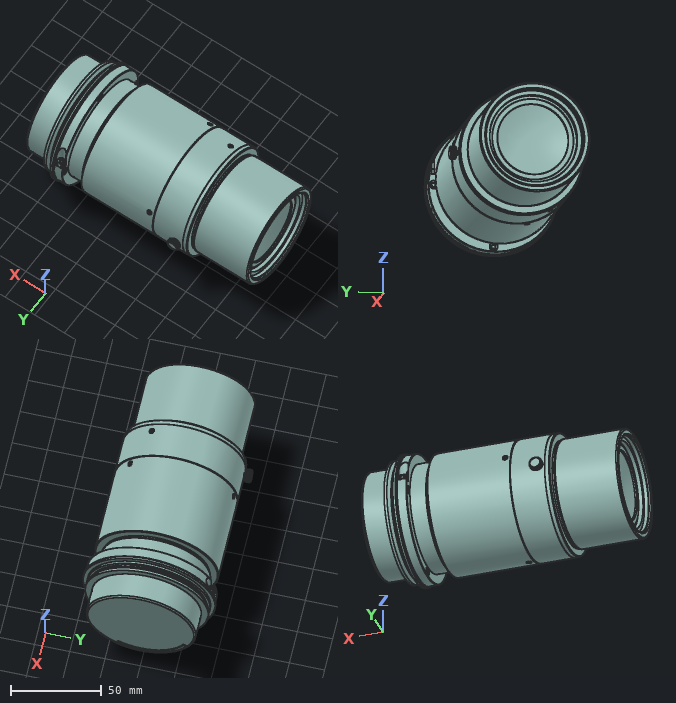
import cadquery as cq
import math


length = 149.8
front_barrel_end = 36.3
front_neck_step = 37.0
ring_start = 38.2
ring_band_end = 41.0
ring_split = 61.1
ring_end = 109.7
rear_barrel_start = 110.7
flange_start = 120.9
flange_end = 126.6
lip_start = 127.0
lip_end = 128.7
rear_collar_end = 130.2
taper_start = 131.2
taper_end = 133.0
rear_rib_end = 134.7
pad_height = 0.5
rear_face = length - pad_height

barrel_dia = 62.0
front_shoulder_dia = 61.4
front_neck_dia = 60.8
rear_neck_dia = 60.2
ring_band_dia = 69.7
ring_dia = 70.0
flange_dia = 73.7
flange_gap_dia = 72.5
lip_dia = 75.0
groove_dia = 66.5

rim_chamfer = 0.7
lip_chamfer = 0.3
ring_chamfer = 0.5
rear_chamfer = 0.9

split_width = 0.3
split_depth = 0.3

front_recess_steps = [(56.0, 1.2), (54.2, 3.6), (49.5, 6.3)]
lens_ring_dia = 45.8
lens_ring_depth = 5.5
lens_dia = 40.0
lens_rim_depth = 6.6
lens_sag = 4.2

set_screw_dia = 2.8
set_screw_recess = 0.7
set_screw_socket = 2.0
set_screw_socket_depth = 1.5
lock_row_x = 45.2
lock_row_angles = [-60, 60]
drive_row_x = 64.5
drive_row_first_angle = 43.4
drive_row_count = 3

overall_width = 76.7
thumb_reach = overall_width - lip_dia / 2
thumb_head_dia = 7.2
thumb_head_height = 3.3
thumb_chamfer = 0.6
thumb_stem_dia = 2.5
thumb_stem_length = 3.0
knurl_count = 36
knurl_depth = 0.1

clamp_x = 123.6
clamp_y = 34.2
clamp_pocket_dia = 5.5
clamp_floor_z = 6.0
clamp_head_dia = 4.5
clamp_head_height = 3.0
clamp_socket = 2.5
clamp_socket_depth = 1.5

face_screw_circle_dia = 67.4
face_screw_dia = 4.5
face_screw_recess = 0.6
face_screw_socket = 2.5
face_screw_socket_depth = 1.5
face_screw_count = 4

pad_outer_dia = 59.3
pad_inner_dia = 54.8
pad_start_angle = -118
pad_end_angle = -28


def band(start, end, dia, chamfer_front=0.0, chamfer_rear=0.0):
    """Disc on the X axis from start to end, with optional edge chamfers."""
    disc = cq.Workplane("YZ", origin=(start, 0, 0)).circle(dia / 2).extrude(end - start)
    if chamfer_front:
        disc = disc.faces("<X").chamfer(chamfer_front)
    if chamfer_rear:
        disc = disc.faces(">X").chamfer(chamfer_rear)
    return disc


def radial_plane(x, angle, radius):
    """Plane facing outwards at an angle measured from -Y towards +Z."""
    y = -math.cos(math.radians(angle))
    z = math.sin(math.radians(angle))
    return cq.Plane(origin=(x, radius * y, radius * z), xDir=(1, 0, 0), normal=(0, y, z))


def body():
    solid = band(0, front_barrel_end, barrel_dia, rim_chamfer, 0)
    solid = solid.union(band(front_barrel_end, front_neck_step, front_shoulder_dia))
    solid = solid.union(band(front_neck_step, ring_start, front_neck_dia))
    solid = solid.union(band(ring_start, ring_band_end, ring_band_dia, ring_chamfer, 0))
    solid = solid.union(band(ring_band_end, ring_end, ring_dia, 0, ring_chamfer))
    solid = solid.union(band(ring_end, rear_barrel_start, rear_neck_dia))
    solid = solid.union(band(rear_barrel_start, rear_face, barrel_dia, rear_chamfer, rear_chamfer))
    solid = solid.union(band(flange_start, flange_end, flange_dia, lip_chamfer))
    solid = solid.union(band(flange_end, lip_start, flange_gap_dia))
    solid = solid.union(band(lip_start, lip_end, lip_dia, lip_chamfer))
    solid = solid.union(band(lip_end, rear_collar_end, ring_dia))
    solid = solid.union(band(rear_collar_end, taper_start, groove_dia))
    rear_rib = (
        cq.Workplane("XY")
        .moveTo(taper_start, 0)
        .lineTo(taper_start, groove_dia / 2)
        .lineTo(taper_end, ring_dia / 2)
        .lineTo(rear_rib_end, ring_dia / 2)
        .lineTo(rear_rib_end, 0)
        .close()
        .revolve(360, (0, 0, 0), (1, 0, 0))
    )
    solid = solid.union(rear_rib)
    split_groove = band(ring_split, ring_split + split_width, ring_dia)
    split_groove = split_groove.cut(band(ring_split, ring_split + split_width, ring_dia - 2 * split_depth))
    return solid.cut(split_groove)


def front_recess():
    recess = band(0, lens_ring_depth, lens_ring_dia)
    for dia, depth in front_recess_steps:
        recess = recess.union(band(0, depth, dia))
    lens_ring = band(lens_ring_depth, front_barrel_end, lens_ring_dia)
    recess = recess.cut(lens_ring).union(band(0, lens_rim_depth, lens_dia))
    lens_radius = lens_dia / 2
    sphere_radius = (lens_radius**2 + lens_sag**2) / (2 * lens_sag)
    lens_apex = lens_rim_depth + lens_sag
    mid_angle = math.asin(lens_radius / sphere_radius) / 2
    sphere_centre = lens_apex - sphere_radius
    bowl = (
        cq.Workplane("XY")
        .moveTo(lens_rim_depth, 0)
        .lineTo(lens_rim_depth, lens_radius)
        .threePointArc(
            (sphere_centre + sphere_radius * math.cos(mid_angle), sphere_radius * math.sin(mid_angle)),
            (lens_apex, 0),
        )
        .close()
        .revolve(360, (0, 0, 0), (1, 0, 0))
    )
    return recess.union(bowl)


def set_screw_cut(x, angle):
    plane = radial_plane(x, angle, ring_dia / 2)
    recess = cq.Workplane(plane).circle(set_screw_dia / 2).extrude(set_screw_recess, both=True)
    socket = cq.Workplane(plane).polygon(6, set_screw_socket).extrude(-set_screw_socket_depth)
    return recess.union(socket)


def thumb_screw():
    head_base = thumb_reach - thumb_head_height
    plane = cq.Plane(origin=(lock_row_x, head_base, 0), xDir=(1, 0, 0), normal=(0, 1, 0))
    head = cq.Workplane(plane).circle(thumb_head_dia / 2).extrude(thumb_head_height)
    head = head.faces("<Y or >Y").chamfer(thumb_chamfer)
    knurls = (
        cq.Workplane(plane)
        .polarArray(thumb_head_dia / 2, 0, 360, knurl_count)
        .circle(knurl_depth)
        .extrude(thumb_head_height)
    )
    stem = cq.Workplane(plane).circle(thumb_stem_dia / 2).extrude(-thumb_stem_length)
    return head.cut(knurls).union(stem)


def clamp_pocket():
    plane = cq.Plane(origin=(clamp_x, clamp_y, clamp_floor_z), xDir=(1, 0, 0), normal=(0, 0, 1))
    pocket = cq.Workplane(plane).circle(clamp_pocket_dia / 2).extrude(lip_dia / 2)
    head = cq.Workplane(plane).circle(clamp_head_dia / 2).extrude(clamp_head_height)
    head_top = cq.Workplane(plane).workplane(offset=clamp_head_height)
    socket = head_top.polygon(6, clamp_socket).extrude(-clamp_socket_depth)
    return pocket.cut(head.cut(socket))


def face_screw_cuts():
    pattern = cq.Workplane("YZ", origin=(flange_start, 0, 0)).polarArray(
        face_screw_circle_dia / 2, 0, 360, face_screw_count
    )
    recesses = pattern.circle(face_screw_dia / 2).extrude(face_screw_recess)
    sockets = pattern.polygon(6, face_screw_socket).extrude(face_screw_socket_depth)
    return recesses.union(sockets)


def rear_pad():
    def at(radius, angle):
        return radius * math.cos(math.radians(angle)), radius * math.sin(math.radians(angle))

    outer = pad_outer_dia / 2
    inner = pad_inner_dia / 2
    middle = (pad_start_angle + pad_end_angle) / 2
    return (
        cq.Workplane("YZ", origin=(rear_face, 0, 0))
        .moveTo(*at(outer, pad_start_angle))
        .threePointArc(at(outer, middle), at(outer, pad_end_angle))
        .lineTo(*at(inner, pad_end_angle))
        .threePointArc(at(inner, middle), at(inner, pad_start_angle))
        .close()
        .extrude(pad_height)
    )


result = body().cut(front_recess())
for angle in lock_row_angles:
    result = result.cut(set_screw_cut(lock_row_x, angle))
for index in range(drive_row_count):
    result = result.cut(set_screw_cut(drive_row_x, drive_row_first_angle + index * 360 / drive_row_count))
result = result.cut(face_screw_cuts()).cut(clamp_pocket())
result = result.union(thumb_screw()).union(rear_pad())